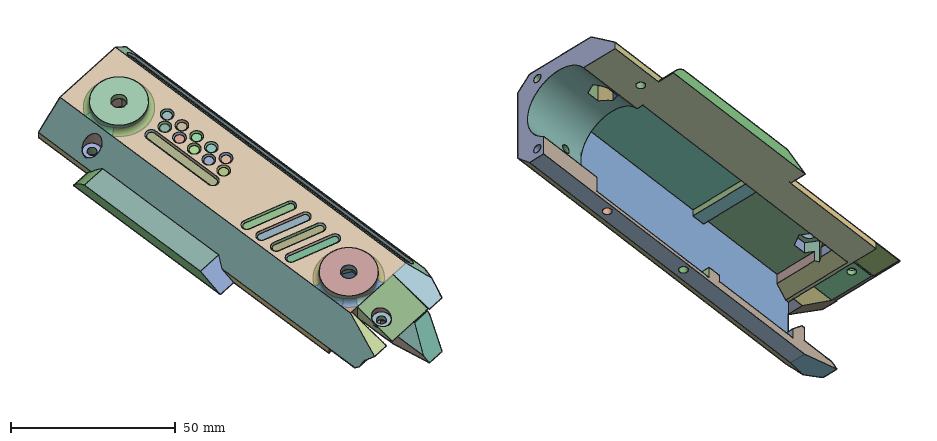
import cadquery as cq
import math

LENGTH = 133.9
HEIGHT = 36.7
MID_Z = HEIGHT / 2
CHAMFER = 4.8
LEG_Y = -10.6
TOP_EDGE_Y = -29.9
SHELF_Y = -39.6
SHELF_TOP_Z = 28.4
SHELF_BOTTOM_Z = 25.7

MAIN_END_X = 119.0
TIP_Z = 4.2
TIP_BASE_X = 123.5
TIP_BASE_Z = 10.5
TAB_END_X = 133.4
TAB_Y = -26.8
PRONG_Y = -29.3
PRONG_BOTTOM_Z = 28.1
PRONG_NOSE = ((129.5, PRONG_BOTTOM_Z), (130.8, 29.0), (131.1, 30.5))
CORNER_START_X = 122.5
CORNER_RIDGE_X = 127.5

BORE_RADIUS = 12.6
BORE_LENGTH = 24.4
REAR_WALL = 4.0
BORE_Y = -REAR_WALL - BORE_RADIUS
POCKET_FRONT_Y = 2 * BORE_Y + REAR_WALL
POCKET_FLOOR_Z = 3.1
POCKET_CEILING_Z = HEIGHT - POCKET_FLOOR_Z
RIB_Z = 5.6
RIB_X = 75.5
RIB_WIDTH = 4.8
RAMP_X = 113.8
RAMP_FOOT_Z = 7.0
RAMP_RISE = 4.0
FLOOR_EDGE_Z = 1.5

PAD_RADIUS = 18.0 / 2
PAD_TOP_Z = 40.0
PAD_FILLET = 1.9
PAD_HOLE = 5.0
NUT_FLATS = 8.0
NUT_SEAT_Z = 37.8
PAD_Y = -20.6
PAD_XS = (15.8, 109.9)

SCREW_HOLE = 3.0
SCREW_HEAD = 6.0
SLOPE_SCREW = (17.4, -34.5)
SLOPE_SCREW_SEAT_Z = 29.7
TAB_SCREW = (126.0, -23.5)
TAB_SCREW_SEAT_Z = 33.1
END_HOLE_Y = -8.0
END_HOLE_INSET_Z = 3.7
END_HOLE_DEPTH = 13.4
WALL_HOLE_X = 17.5
FLOOR_HOLE_XS = (31.9, 66.7)

ENGRAVE_DEPTH = 0.7
ENGRAVE_TAPER = 37.0
DOT = 4.2
DOT_COUNT = 5
PITCH = 6.0
DOT_ROWS = ((28.4, -12.7), (30.9, -16.6))
LONG_SLOT_X = (28.0, 57.0)
LONG_SLOT_Y = -21.5
LONG_SLOT_WIDTH = 3.9
SLANT_COUNT = 4
SLANT_LOW = (73.8, -26.8)
SLANT_HIGH = (78.9, -12.6)
SLANT_WIDTH = 3.5
GROOVE_X = (3.1, 119.5)
GROOVE_WIDTH = 4.2
GROOVE_DEPTH = 1.0

RAIL_Y = -45.7
RAIL_ROOT_Y = -34.8
RAIL_TOP_Z = 30.3
RAIL_FOOT_X = (19.8, 80.0)
RAIL_TOP_X = (24.4, 71.9)
RAIL_BULGE = 0.4


def mirrored(points):
    """Continue an XZ outline with its reflection about mid height."""
    return points + [(x, HEIGHT - z) for x, z in reversed(points)]


def extrude_x(points, start, end):
    """Extrude a YZ outline from one X position to another."""
    return cq.Workplane("YZ", origin=(start, 0, 0)).polyline(points).close().extrude(end - start)


def extrude_y(points, rear, front):
    """Extrude an XZ outline from a rear Y position to a front one."""
    return cq.Workplane("XZ", origin=(0, rear, 0)).polyline(points).close().extrude(rear - front)


def cylinder(center, diameter, bottom, top):
    """Vertical cylinder between two heights."""
    return cq.Workplane("XY", origin=(*center, bottom)).circle(diameter / 2).extrude(top - bottom)


def reflect(solid):
    """Reflect a solid about mid height."""
    return solid.mirror("XY", (0, 0, MID_Z))


def tip_outline(end_x, end_z):
    """Side outline with an upper and a lower tip that come to a point at the given place."""
    return mirrored([
        (0, 0), (MAIN_END_X, 0), (end_x, end_z), (TIP_BASE_X, TIP_BASE_Z), (MAIN_END_X, TIP_BASE_Z),
    ])


def make_shell():
    """C-shaped bar with its far end shaped separately for each band of Y."""
    section = [
        (0, CHAMFER), (0, HEIGHT - CHAMFER), (-CHAMFER, HEIGHT), (TOP_EDGE_Y, HEIGHT),
        (SHELF_Y, SHELF_TOP_Z), (SHELF_Y, SHELF_BOTTOM_Z), (LEG_Y, SHELF_BOTTOM_Z),
        (LEG_Y, 0), (-CHAMFER, 0),
    ]
    bar = extrude_x(section, 0, LENGTH)
    tab_drop = (TIP_BASE_Z - TIP_Z) * (LENGTH - TAB_END_X) / (LENGTH - TIP_BASE_X)
    plain = mirrored([(0, 0), (MAIN_END_X, 0)])
    prong = [
        (0, 0), (MAIN_END_X, 0), (MAIN_END_X, PRONG_BOTTOM_Z), *PRONG_NOSE,
        (TAB_END_X, HEIGHT - TIP_Z), (MAIN_END_X, HEIGHT), (0, HEIGHT),
    ]
    outline = extrude_y(tip_outline(LENGTH, TIP_Z), 0, LEG_Y)
    outline = outline.union(extrude_y(tip_outline(TAB_END_X, TIP_Z + tab_drop), LEG_Y, TAB_Y))
    outline = outline.union(extrude_y(plain, TAB_Y, PRONG_Y))
    outline = outline.union(extrude_y(prong, PRONG_Y, SHELF_Y))
    return bar.intersect(outline)


def end_hollow():
    """Space between the tips with a 45 degree bevel along its rear corners."""
    bevel = TIP_BASE_Z - RIB_Z
    section = mirrored([(TAB_Y, RIB_Z), (LEG_Y, RIB_Z), (LEG_Y + bevel, TIP_BASE_Z)])
    return extrude_x(section, MAIN_END_X, LENGTH)


def tip_corner():
    """Block that bevels the rear corner of the upper tip."""
    low = cq.Vector(CORNER_START_X, 0, HEIGHT - CHAMFER)
    ridge = cq.Vector(CORNER_RIDGE_X, -CHAMFER / 2, HEIGHT - CHAMFER / 2)
    point = cq.Vector(LENGTH, -CHAMFER, HEIGHT - TIP_Z)
    normal = (ridge - low).cross(point - ridge)
    size = HEIGHT
    cutter = cq.Workplane(cq.Plane(low, point - low, normal)).rect(size, size).extrude(size)
    upper = cq.Workplane("XY", origin=(LENGTH, 0, MID_Z)).rect(LENGTH, LENGTH).extrude(LENGTH)
    return cutter.intersect(upper)


def make_pocket():
    """Bore at the near end and a stepped pocket with ribs and end ramps."""
    bore = cq.Workplane("YZ").center(BORE_Y, MID_Z).circle(BORE_RADIUS).extrude(BORE_LENGTH)
    ramp_top_z = RAMP_FOOT_Z + RAMP_RISE
    outline = mirrored([
        (BORE_LENGTH, POCKET_FLOOR_Z), (RIB_X, POCKET_FLOOR_Z), (RIB_X, RIB_Z),
        (RIB_X + RIB_WIDTH, RIB_Z), (RIB_X + RIB_WIDTH, POCKET_FLOOR_Z), (RAMP_X, POCKET_FLOOR_Z),
        (RAMP_X, RAMP_FOOT_Z), (RAMP_X + RAMP_RISE, ramp_top_z), (MAIN_END_X, ramp_top_z),
    ])
    pocket = extrude_y(outline, -REAR_WALL, POCKET_FRONT_Y)
    drop = POCKET_FLOOR_Z - FLOOR_EDGE_Z
    floor_bevel = extrude_x(
        [(LEG_Y, POCKET_FLOOR_Z), (LEG_Y, FLOOR_EDGE_Z), (LEG_Y + drop, POCKET_FLOOR_Z)], BORE_LENGTH, RIB_X
    )
    return bore.union(pocket).union(floor_bevel)


def make_rail():
    """Rail along the shelf with a bulged near end and a straight ramp at the far end."""
    left_mid_x = (RAIL_FOOT_X[0] + RAIL_TOP_X[0]) / 2 - RAIL_BULGE
    left_mid_z = (SHELF_BOTTOM_Z + RAIL_TOP_Z) / 2 + RAIL_BULGE
    return (
        cq.Workplane("XZ", origin=(0, RAIL_ROOT_Y, 0))
        .moveTo(RAIL_FOOT_X[0], SHELF_BOTTOM_Z)
        .threePointArc((left_mid_x, left_mid_z), (RAIL_TOP_X[0], RAIL_TOP_Z))
        .lineTo(RAIL_TOP_X[1], RAIL_TOP_Z)
        .lineTo(RAIL_FOOT_X[1], SHELF_BOTTOM_Z)
        .close()
        .extrude(RAIL_ROOT_Y - RAIL_Y)
    )


def add_pads(body):
    """Round pads on the top face, blended into it at their feet."""
    for x in PAD_XS:
        body = body.union(cylinder((x, PAD_Y), 2 * PAD_RADIUS, POCKET_CEILING_Z, PAD_TOP_Z))
    low = (0, TOP_EDGE_Y, POCKET_CEILING_Z)
    high = (LENGTH, 0, (HEIGHT + PAD_TOP_Z) / 2)
    feet = body.edges(cq.selectors.BoxSelector(low, high)).edges("%CIRCLE")
    return feet.fillet(PAD_FILLET)


def slot(start, end, width):
    """Round-ended engraving with tapered walls between two end centres on the top face."""
    dx = end[0] - start[0]
    dy = end[1] - start[1]
    middle = ((start[0] + end[0]) / 2, (start[1] + end[1]) / 2)
    return (
        cq.Workplane("XY", origin=(*middle, HEIGHT))
        .slot2D(math.hypot(dx, dy) + width, width, math.degrees(math.atan2(dy, dx)))
        .extrude(-ENGRAVE_DEPTH, taper=ENGRAVE_TAPER)
    )


def engravings():
    """Rows of dots, a long slot and slanted slots on the top face."""
    cutters = []
    for x, y in DOT_ROWS:
        for i in range(DOT_COUNT):
            dot = cq.Workplane("XY", origin=(x + i * PITCH, y, HEIGHT)).circle(DOT / 2)
            cutters.append(dot.extrude(-ENGRAVE_DEPTH, taper=ENGRAVE_TAPER))
    end_inset = LONG_SLOT_WIDTH / 2
    cutters.append(slot(
        (LONG_SLOT_X[0] + end_inset, LONG_SLOT_Y), (LONG_SLOT_X[1] - end_inset, LONG_SLOT_Y), LONG_SLOT_WIDTH
    ))
    for i in range(SLANT_COUNT):
        shift = i * PITCH
        cutters.append(slot(
            (SLANT_LOW[0] + shift, SLANT_LOW[1]), (SLANT_HIGH[0] + shift, SLANT_HIGH[1]), SLANT_WIDTH
        ))
    return cutters


def chamfer_groove():
    """Long round-ended groove cut square to the upper rear chamfer."""
    middle = ((GROOVE_X[0] + GROOVE_X[1]) / 2, -CHAMFER / 2, HEIGHT - CHAMFER / 2)
    plane = cq.Plane(origin=middle, xDir=(1, 0, 0), normal=(0, 1, 1))
    length = GROOVE_X[1] - GROOVE_X[0]
    return cq.Workplane(plane).slot2D(length, GROOVE_WIDTH).extrude(GROOVE_DEPTH, both=True)


def holes():
    """Pad holes over hexagonal nut seats, screw holes with head seats and plain screw holes."""
    cutters = [cylinder((x, END_HOLE_Y), SCREW_HOLE, 0, MID_Z) for x in FLOOR_HOLE_XS]
    nut_corners = NUT_FLATS / math.cos(math.radians(30))
    for x in PAD_XS:
        cutters.append(cylinder((x, PAD_Y), PAD_HOLE, MID_Z, PAD_TOP_Z))
        nut = cq.Workplane("XY", origin=(x, PAD_Y, MID_Z)).polygon(6, nut_corners)
        cutters.append(nut.extrude(NUT_SEAT_Z - MID_Z))
    for center, seat_z in ((SLOPE_SCREW, SLOPE_SCREW_SEAT_Z), (TAB_SCREW, TAB_SCREW_SEAT_Z)):
        cutters.append(cylinder(center, SCREW_HOLE, MID_Z, HEIGHT))
        cutters.append(cylinder(center, SCREW_HEAD, seat_z, HEIGHT))
    end_hole = (
        cq.Workplane("YZ").center(END_HOLE_Y, END_HOLE_INSET_Z).circle(SCREW_HOLE / 2).extrude(END_HOLE_DEPTH)
    )
    cutters += [end_hole, reflect(end_hole)]
    cutters.append(cq.Workplane("XZ").center(WALL_HOLE_X, MID_Z).circle(SCREW_HOLE / 2).extrude(-LEG_Y))
    return cutters


body = make_shell()
corner = tip_corner()
for cutter in (end_hollow(), corner, reflect(corner), make_pocket()):
    body = body.cut(cutter)
body = add_pads(body.union(make_rail()))
for cutter in engravings() + [chamfer_groove()] + holes():
    body = body.cut(cutter)

result = body